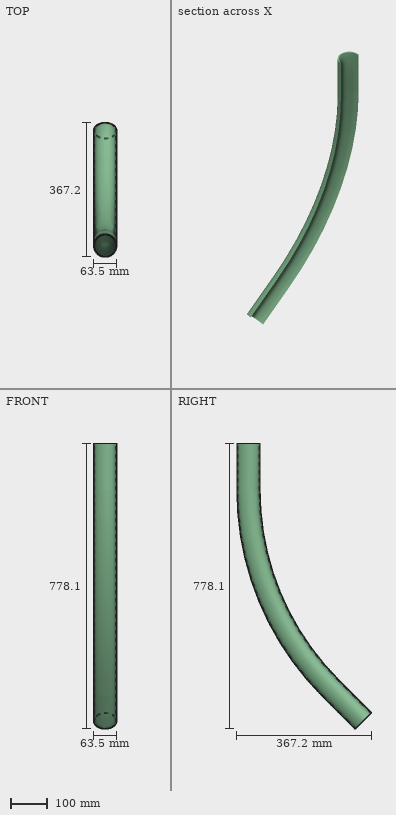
import cadquery as cq
import math

outer_diameter = 63.5
inner_diameter = 57.4
bend_radius = 762.0
bend_angle = 45.0
straight_length = 127.0


def bend_point(angle):
    """Centreline point (y, z) in the bend, with the angle in degrees from its upper end."""
    turn = math.radians(angle)
    return (
        bend_radius * (1 - math.cos(turn)),
        -straight_length - bend_radius * math.sin(turn),
    )


def tube_centreline():
    """Straight down from the origin, bend towards +Y, then straight along the tangent."""
    bend_start = bend_point(0)
    bend_middle = bend_point(bend_angle / 2)
    bend_end = bend_point(bend_angle)
    final_turn = math.radians(bend_angle)
    lower_end = (
        bend_end[0] + straight_length * math.sin(final_turn),
        bend_end[1] - straight_length * math.cos(final_turn),
    )
    return (
        cq.Workplane("YZ")
        .moveTo(0, 0)
        .lineTo(*bend_start)
        .threePointArc(bend_middle, bend_end)
        .lineTo(*lower_end)
    )


def bent_tube():
    """Sweep the ring-shaped tube section along the centreline."""
    section = cq.Workplane("XY").circle(outer_diameter / 2).circle(inner_diameter / 2)
    return section.sweep(tube_centreline())


result = bent_tube()